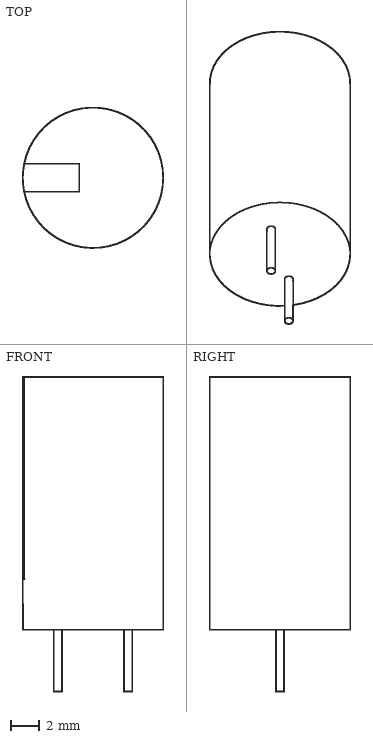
import cadquery as cq

can_diameter = 10.0
overall_height = 22.4
pin_length = 4.39
pin_diameter = 0.6
pin_spacing = 5.0
stripe_width = 2.0
stripe_height = 14.4
stripe_inner_offset = 0.99

can_radius = can_diameter / 2
can_height = overall_height - pin_length
stripe_bottom = can_height - stripe_height


def make_cylinder():
    """Full outer cylinder shared by the can and the polarity stripe."""
    return cq.Workplane("XY").circle(can_radius).extrude(can_height)


def make_stripe():
    """Polarity stripe on the -X side, flush with the can's wall and top."""
    block_length = can_radius - stripe_inner_offset
    block = (
        cq.Workplane("XY")
        .box(block_length, stripe_width, stripe_height, centered=(False, True, False))
        .translate((-can_radius, 0, stripe_bottom))
    )
    return make_cylinder().intersect(block)


def make_can(stripe):
    """Solid can with a recess that matches the stripe."""
    return make_cylinder().cut(stripe)


def make_pin(x):
    """Round lead hanging from the can's base at the given X."""
    return cq.Workplane("XY").center(x, 0).circle(pin_diameter / 2).extrude(-pin_length)


stripe = make_stripe()
can = make_can(stripe)
pins = [make_pin(side * pin_spacing / 2) for side in (-1, 1)]

result = cq.Compound.makeCompound([can.val(), stripe.val(), *[pin.val() for pin in pins]])